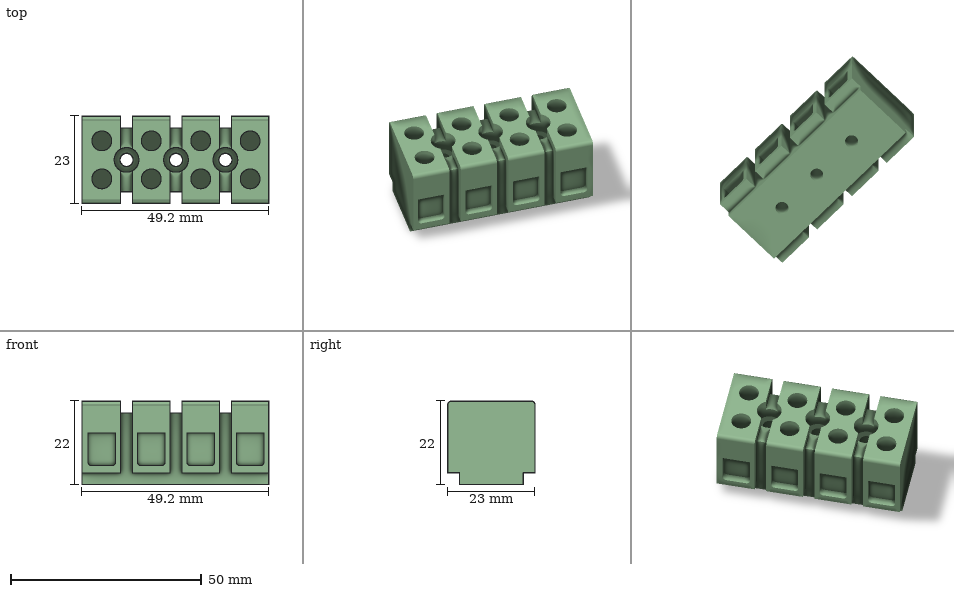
import cadquery as cq

POLE_COUNT = 4
PITCH = 13.0
POLE_WIDTH = 9.9
END_EXTENSION = 0.3
GAP_WIDTH = PITCH - POLE_WIDTH
BODY_DEPTH = 23.0
HEIGHT = 22.0
CORE_DEPTH = BODY_DEPTH - 2 * GAP_WIDTH
CORE_HEIGHT = HEIGHT - GAP_WIDTH
LEDGE_HEIGHT = GAP_WIDTH
TOP_FILLET = 1.0

WELL_DIAMETER = 5.2
WELL_SPACING = 10.0
WELL_DEPTH = 8.0

MOUNT_DIAMETER = 3.4
MOUNT_HEAD_DIAMETER = 6.5
MOUNT_HEAD_FLOOR = 16.0

ENTRY_WIDTH = 7.3
ENTRY_BOTTOM = 5.0
ENTRY_TOP = 13.6
ENTRY_DEPTH = 2.0
ENTRY_RADIUS = 1.0

LENGTH = END_EXTENSION + (POLE_COUNT - 1) * PITCH + POLE_WIDTH
LEFT = -LENGTH / 2
POLE_CENTERS = [
    LEFT + END_EXTENSION + POLE_WIDTH / 2 + index * PITCH for index in range(POLE_COUNT)
]
MOUNT_CENTERS = [center + PITCH / 2 for center in POLE_CENTERS[:-1]]


def block(x_start, x_end, depth, z_bottom, z_top):
    """Box centred on Y between the given X and Z limits."""
    return (
        cq.Workplane("XY")
        .box(x_end - x_start, depth, z_top - z_bottom, centered=(False, True, False))
        .translate((x_start, 0, z_bottom))
    )


def pole(index):
    """Upright pole with its two long top edges rounded."""
    center = POLE_CENTERS[index]
    x_start = LEFT if index == 0 else center - POLE_WIDTH / 2
    x_end = center + POLE_WIDTH / 2
    body = block(x_start, x_end, BODY_DEPTH, LEDGE_HEIGHT, HEIGHT)
    return body.edges("|X and >Z").fillet(TOP_FILLET)


def bore(x, y, diameter, floor):
    """Vertical cylinder from the given floor height up to the top face."""
    return (
        cq.Workplane("XY", origin=(x, y, floor))
        .circle(diameter / 2)
        .extrude(HEIGHT - floor)
    )


def wire_entry(x, side):
    """Pocket with rounded lower corners in the front (-1) or back (+1) face."""
    pocket = block(x - ENTRY_WIDTH / 2, x + ENTRY_WIDTH / 2, ENTRY_DEPTH, ENTRY_BOTTOM, ENTRY_TOP)
    pocket = pocket.edges("|Y and <Z").fillet(ENTRY_RADIUS)
    return pocket.translate((0, side * (BODY_DEPTH - ENTRY_DEPTH) / 2, 0))


result = block(LEFT, LEFT + LENGTH, CORE_DEPTH, 0, CORE_HEIGHT)
for pole_index in range(POLE_COUNT):
    result = result.union(pole(pole_index))

for pole_x in POLE_CENTERS:
    for side in (-1, 1):
        well_y = side * WELL_SPACING / 2
        result = result.cut(bore(pole_x, well_y, WELL_DIAMETER, HEIGHT - WELL_DEPTH))
        result = result.cut(wire_entry(pole_x, side))

for mount_x in MOUNT_CENTERS:
    result = result.cut(bore(mount_x, 0, MOUNT_DIAMETER, 0))
    result = result.cut(bore(mount_x, 0, MOUNT_HEAD_DIAMETER, MOUNT_HEAD_FLOOR))